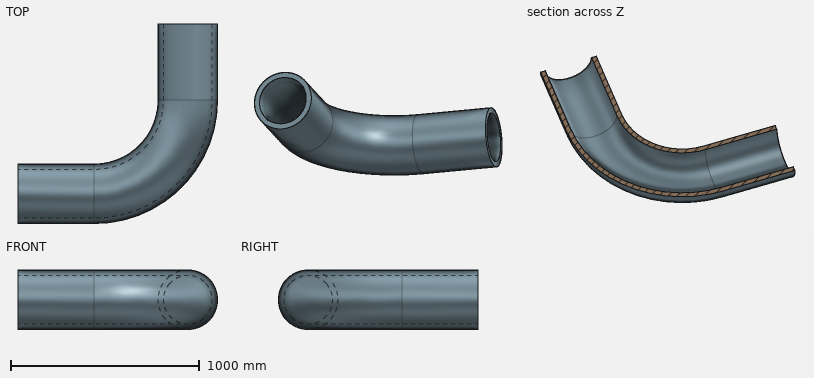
import cadquery as cq

outer_diameter = 315.0
inner_diameter = 257.8
overall_length = 1057.5
leg_length = 404.0

outer_radius = outer_diameter / 2
bend_radius = overall_length - outer_radius - leg_length


def pipe_wall(plane, center):
    """Ring-shaped pipe cross-section on the given plane."""
    return (
        cq.Workplane(plane, origin=center)
        .circle(outer_radius)
        .circle(inner_diameter / 2)
    )


bend_start = (leg_length, 0, 0)
bend_end = (leg_length + bend_radius, bend_radius, 0)

inlet_leg = pipe_wall("YZ", (0, 0, 0)).extrude(leg_length)

bend = pipe_wall("YZ", bend_start).revolve(90, (bend_radius, 0, 0), (bend_radius, 1, 0))

outlet_leg = pipe_wall("XZ", bend_end).extrude(-leg_length)

result = inlet_leg.union(bend).union(outlet_leg)